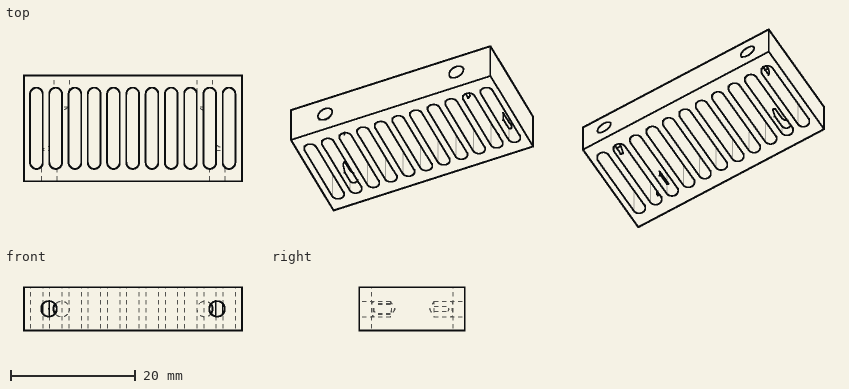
import cadquery as cq
import math

LENGTH = 35.0
WIDTH = 17.0
HEIGHT = 7.0

SLOT_COUNT = 11
SLOT_WIDTH = 2.0
SLOT_END_MARGIN = 2.0
SLOT_LENGTH = WIDTH - 2 * SLOT_END_MARGIN
FIRST_WALL = 1.0
SLOT_PITCH = (LENGTH - FIRST_WALL) / SLOT_COUNT

HOLE_DIAMETER = 2.5
HOLE_DEPTH = 5.0
DRILL_POINT_ANGLE = 118.0
FRONT_HOLE_INSET = 4.0
BACK_HOLE_INSET = 6.0


def make_block():
    return cq.Workplane("XY").box(LENGTH, WIDTH, HEIGHT, centered=False)


def make_slots():
    first_x = FIRST_WALL + SLOT_WIDTH / 2
    centres = [(first_x + i * SLOT_PITCH, WIDTH / 2) for i in range(SLOT_COUNT)]
    return (
        cq.Workplane("XY")
        .pushPoints(centres)
        .slot2D(SLOT_LENGTH, SLOT_WIDTH, angle=90)
        .extrude(HEIGHT)
    )


def make_drilled_hole(x, start_y, direction):
    """Blind hole at mid height, drilled from start_y along Y; direction is +1 or -1."""
    radius = HOLE_DIAMETER / 2
    point_length = radius / math.tan(math.radians(DRILL_POINT_ANGLE / 2))
    shoulder_y = start_y + direction * HOLE_DEPTH
    tip_y = shoulder_y + direction * point_length
    return (
        cq.Workplane("XY", origin=(x, 0, HEIGHT / 2))
        .moveTo(0, start_y)
        .lineTo(radius, start_y)
        .lineTo(radius, shoulder_y)
        .lineTo(0, tip_y)
        .close()
        .revolve(360, (0, 0, 0), (0, 1, 0))
    )


def cut_hole_pair(part, inset, start_y, direction):
    for x in (inset, LENGTH - inset):
        part = part.cut(make_drilled_hole(x, start_y, direction))
    return part


result = make_block().cut(make_slots())
result = cut_hole_pair(result, FRONT_HOLE_INSET, 0, 1)
result = cut_hole_pair(result, BACK_HOLE_INSET, WIDTH, -1)